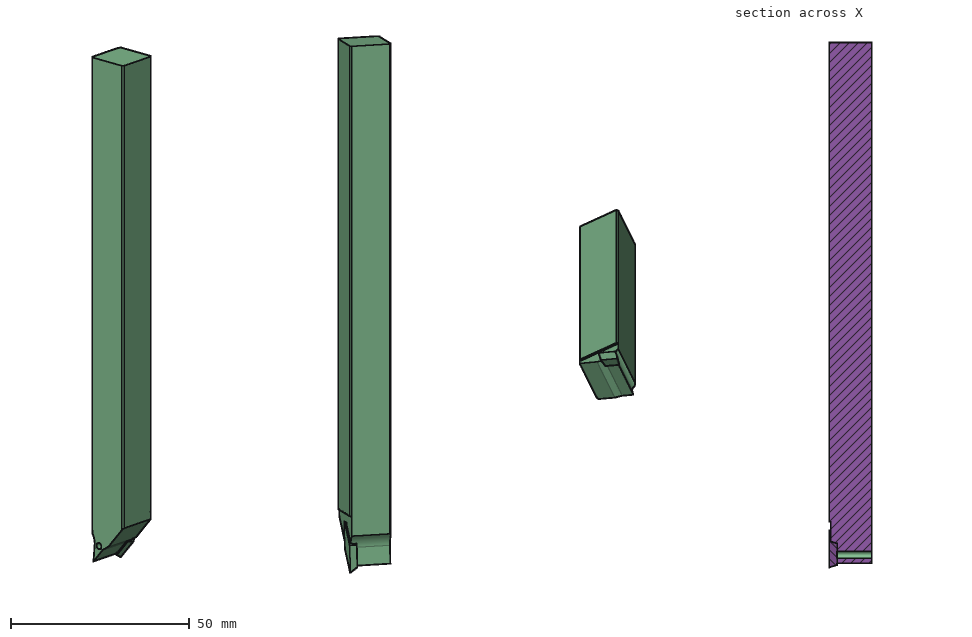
import cadquery as cq
import math

length = 150.0
width = 12.0
half = width / 2
edge_chamfer = 0.5

insert_side = 8.2
insert_angle = 35.0
nose_radius = 0.22
nose_overhang = 0.44
side_overhang = 0.06
insert_thickness = 2.2
relief_angle = 11.0
edge_tilt = 5.0

head_drop = 0.5
head_height = 16.0
end_cut_height = 14.0
bend = (0.6, 7.5)
flank_start = (-1.6, 6.0)
seat_tip_height = 1.8
throat_top = 10.5
throat_bottom = 7.0
throat_radius = 5.0
screw_hole_diameter = 1.8


def toward(start, angle, distance):
    """Point at a distance from start, along a direction leaning from +Z toward +X."""
    lean = math.radians(angle)
    return start[0] + distance * math.sin(lean), start[1] + distance * math.cos(lean)


far_tilt = edge_tilt + insert_angle
insert_tip = (-half - side_overhang, -nose_overhang)
left_corner = toward(insert_tip, edge_tilt, insert_side)
right_corner = toward(insert_tip, far_tilt, insert_side)
back_corner = toward(left_corner, far_tilt, insert_side)
insert_center = ((left_corner[0] + right_corner[0]) / 2, (left_corner[1] + right_corner[1]) / 2)


def make_insert():
    """Rhombic insert, from the rake face toward -Y with relief on every side."""
    rake_plane = cq.Workplane("XZ", origin=(0, half, 0))
    outline = rake_plane.polyline([insert_tip, right_corner, back_corner, left_corner]).close()
    blank = outline.extrude(insert_thickness, taper=relief_angle)
    for corner in (insert_tip, back_corner):
        beside_edge = (corner[0], half - insert_thickness / 2, corner[1])
        corner_edge = cq.selectors.NearestToPointSelector(beside_edge)
        blank = blank.edges(corner_edge).fillet(nose_radius)
    return blank


def make_shank():
    """Square bar with its four long edges chamfered."""
    bar = cq.Workplane("XY").rect(width, width).extrude(length)
    return bar.edges("|Z").chamfer(edge_chamfer)


def head_profile():
    """Side outline of the holder in the XZ plane, with its pointed end."""
    flank_length = (flank_start[1] - seat_tip_height) / math.cos(math.radians(far_tilt))
    seat_tip = toward(flank_start, far_tilt, -flank_length)
    flank_rise = (throat_bottom - seat_tip_height) / math.cos(math.radians(edge_tilt))
    throat_end = toward(seat_tip, edge_tilt, flank_rise)
    return (
        cq.Workplane("XZ", origin=(0, half, 0))
        .moveTo(-half, length)
        .lineTo(half, length)
        .lineTo(half, end_cut_height)
        .lineTo(*bend)
        .lineTo(*flank_start)
        .lineTo(*seat_tip)
        .lineTo(*throat_end)
        .radiusArc((-half, throat_top), -throat_radius)
        .close()
    )


def make_holder(insert):
    """Shank cut to the head outline, with the lowered face, insert pocket and screw hole."""
    holder = make_shank().intersect(head_profile().extrude(width))
    lowered_face = cq.Workplane("XY").box(width, head_drop, head_height, centered=(True, False, False))
    holder = holder.cut(lowered_face.translate((0, half - head_drop, 0)))
    holder = holder.cut(insert)
    screw_hole = (
        cq.Workplane("XZ", origin=(0, half - insert_thickness, 0))
        .center(*insert_center)
        .circle(screw_hole_diameter / 2)
        .extrude(width - insert_thickness)
    )
    return holder.cut(screw_hole)


insert = make_insert()
holder = make_holder(insert)
result = cq.Compound.makeCompound([holder.val(), insert.val()])